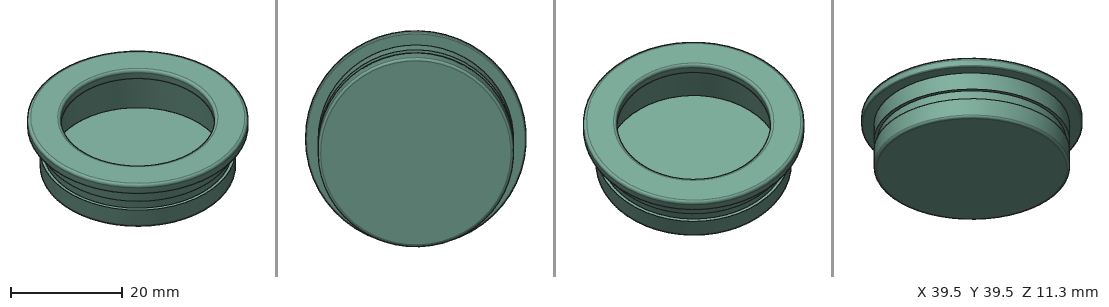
import cadquery as cq

flange_diameter = 39.5
total_height = 11.3
flange_thickness = 1.98
body_diameter = 35.0

groove_diameter = 33.8
groove_top_depth = 5.37
groove_width = 2.0

mouth_diameter = 27.5
mouth_depth = flange_thickness
chamber_diameter = 31.2
pocket_depth = 9.9

rim_fillet = 0.6
flange_underside_fillet = 0.2
lip_underside_fillet = 0.2
bottom_fillet = 0.47


def make_body():
    """Cylindrical plug standing on Z = 0 with a rounded bottom edge."""
    body = cq.Workplane("XY").circle(body_diameter / 2).extrude(total_height)
    return body.faces("<Z").edges().fillet(bottom_fillet)


def make_flange():
    """Wide disc at the top with rounded outer edges."""
    flange_bottom = total_height - flange_thickness
    flange = (
        cq.Workplane("XY")
        .workplane(offset=flange_bottom)
        .circle(flange_diameter / 2)
        .extrude(flange_thickness)
    )
    flange = flange.faces(">Z").edges().fillet(rim_fillet)
    return flange.faces("<Z").edges().fillet(flange_underside_fillet)


def make_groove():
    """Ring of material removed from the side of the body."""
    groove_bottom = total_height - groove_top_depth - groove_width
    return (
        cq.Workplane("XY")
        .workplane(offset=groove_bottom)
        .circle(body_diameter / 2)
        .circle(groove_diameter / 2)
        .extrude(groove_width)
    )


def make_pocket():
    """Blind round pocket, undercut below the flange to leave a lip around its mouth."""
    chamber = (
        cq.Workplane("XY")
        .workplane(offset=total_height - pocket_depth)
        .circle(chamber_diameter / 2)
        .extrude(pocket_depth - mouth_depth)
    )
    pocket = chamber.faces(">Z").workplane().circle(mouth_diameter / 2).extrude(mouth_depth)
    step = pocket.faces("|Z").faces(">Z[-2]")
    return step.edges(cq.selectors.RadiusNthSelector(0)).fillet(lip_underside_fillet)


plug = make_body().union(make_flange()).cut(make_groove()).cut(make_pocket())

result = plug.faces(">Z").edges(cq.selectors.RadiusNthSelector(0)).fillet(rim_fillet)